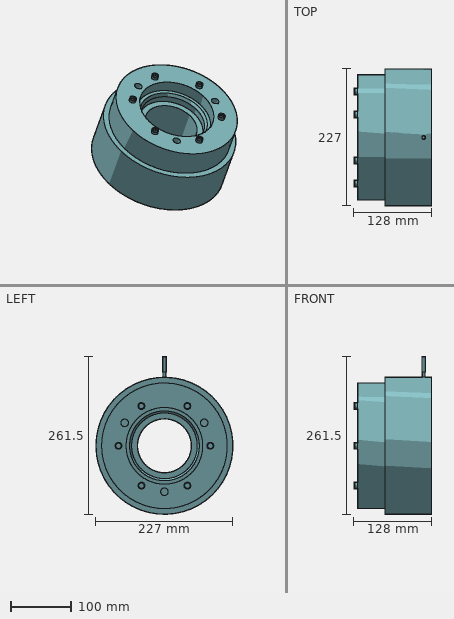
import cadquery as cq
import math

overall_length = 128.0
overall_height = 261.5
rim_diameter = 227.0

pin_height = 5.5
hub_length = 45.5
hub_radius = 104.0

recess_radius = 63.5
recess_depth = 19.9
cone_mouth_radius = 57.8
cone_depth = 25.0
seat_radius = 54.4
seat_depth = 36.0
bore_radius = 44.5

bolt_circle_radius = 76.0
pin_count = 6
pin_first_angle = 0.0
pin_diameter = 11.2
pin_bore_diameter = 9.1
pin_bore_depth = 15.7
pin_mouth_depth = 1.5
hole_count = 3
hole_first_angle = 30.0
hole_radius = 6.3
hole_depth = 15.7

stem_from_back = 13.0
stem_neck_radius = 2.5
stem_head_radius = 3.1
stem_head_length = 25.4
stem_root_overlap = 2.5

rim_radius = rim_diameter / 2
hub_face = pin_height
pin_radius = pin_diameter / 2
pin_bore_radius = pin_bore_diameter / 2
shoulder = hub_face + hub_length
stem_top = overall_height - rim_radius


def turned_body():
    """Revolve the half section, drawn as (X, radius), about the X axis."""
    section = [
        (hub_face, recess_radius),
        (hub_face, hub_radius),
        (shoulder, hub_radius),
        (shoulder, rim_radius),
        (overall_length, rim_radius),
        (overall_length, bore_radius),
        (hub_face + seat_depth, bore_radius),
        (hub_face + seat_depth, seat_radius),
        (hub_face + cone_depth, seat_radius),
        (hub_face + recess_depth, cone_mouth_radius),
        (hub_face + recess_depth, recess_radius),
    ]
    return cq.Workplane("XY").polyline(section).close().revolve(360, (0, 0, 0), (1, 0, 0))


def at_bolt_circle(shape, count, first_angle):
    """Copies of a shape built along the X axis, equally spaced on the bolt circle."""
    copies = cq.Workplane("YZ")
    for index in range(count):
        angle = math.radians(first_angle + index * 360 / count)
        y = bolt_circle_radius * math.cos(angle)
        z = bolt_circle_radius * math.sin(angle)
        copies = copies.union(shape.translate((0, y, z)))
    return copies


def rod_along_x(radius, start, length):
    """Cylinder on the X axis from X = start."""
    return cq.Workplane("YZ", origin=(start, 0, 0)).circle(radius).extrude(length)


def pin_bore():
    """Blind bore whose conical mouth opens out to the sharp rim of the pin."""
    section = [
        (0, 0),
        (0, pin_radius),
        (pin_mouth_depth, pin_bore_radius),
        (pin_bore_depth, pin_bore_radius),
        (pin_bore_depth, 0),
    ]
    return cq.Workplane("XY").polyline(section).close().revolve(360, (0, 0, 0), (1, 0, 0))


def stem():
    """Round head on a thinner neck rooted in the rim."""
    axis_x = overall_length - stem_from_back
    neck_start = rim_radius - stem_root_overlap
    head_start = stem_top - stem_head_length
    neck = cq.Workplane("XY", origin=(axis_x, 0, neck_start)).circle(stem_neck_radius)
    head = cq.Workplane("XY", origin=(axis_x, 0, head_start)).circle(stem_head_radius)
    return neck.extrude(head_start - neck_start).union(head.extrude(stem_head_length))


pin = rod_along_x(pin_radius, 0, shoulder)
hole = rod_along_x(hole_radius, hub_face, hole_depth)

body = turned_body()
body = body.union(at_bolt_circle(pin, pin_count, pin_first_angle))
body = body.cut(at_bolt_circle(pin_bore(), pin_count, pin_first_angle))
body = body.cut(at_bolt_circle(hole, hole_count, hole_first_angle))
result = body.union(stem())